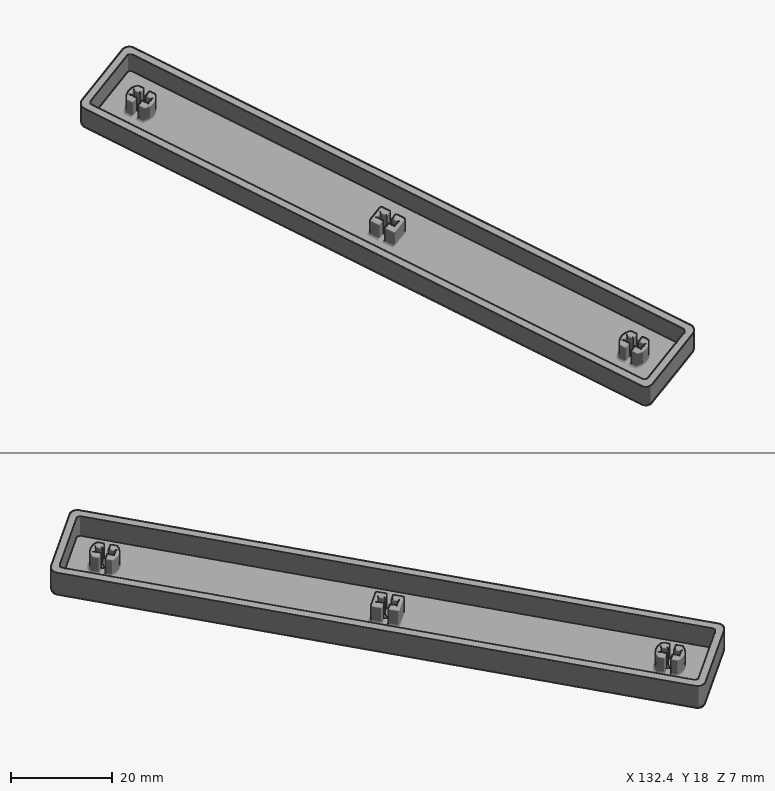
import cadquery as cq

length = 132.4
width = 18.0
height = 7.0
wall = 1.6
floor = 1.6
corner_radius = 1.6
bottom_radius = 1.6
inner_corner_radius = 0.8

stem_spacing = 57.2
stem_length = 5.8
stem_width = 4.2
stem_height = 4.6
stem_corner_radius = 0.4
rim_radius = 0.3
flare_radius = 0.8
plate_size = 2 * stem_length

slot_width = 1.2
slot_length = 4.0
slot_bottom_radius = 0.5
mouth_radius = 0.3

tolerance = 0.01


def on_floor():
    return cq.Workplane("XY", origin=(0, 0, floor))


def make_tray():
    shell = cq.Workplane("XY").box(length, width, height, centered=(True, True, False))
    shell = shell.edges("|Z").fillet(corner_radius)
    shell = shell.faces("<Z").edges().fillet(bottom_radius)
    cavity = on_floor().rect(length - 2 * wall, width - 2 * wall).extrude(height)
    return shell.cut(cavity.edges("|Z").fillet(inner_corner_radius))


def add_flare(post):
    """Blend the foot of a post outward into the floor; keep only what is above the floor."""
    plate = cq.Workplane("XY").rect(plate_size, plate_size).extrude(floor)
    reach = stem_length / 2 + tolerance
    foot = cq.selectors.BoxSelector(
        (-reach, -reach, floor - tolerance),
        (reach, reach, floor + tolerance),
    )
    flared = plate.union(post).edges(foot).fillet(flare_radius)
    return flared.intersect(on_floor().rect(plate_size, plate_size).extrude(stem_height))


def make_slot_cutter():
    along_x = on_floor().rect(slot_length, slot_width).extrude(height)
    along_y = on_floor().rect(slot_width, plate_size).extrude(height)
    return along_x.union(along_y).faces("<Z").edges().fillet(slot_bottom_radius)


def is_slot_mouth(edge):
    """True for the edges where the slot walls break out through the sides and the flare."""
    box = edge.BoundingBox()
    on_slot_wall = box.xlen < tolerance and abs(abs(box.center.x) - slot_width / 2) < tolerance
    above_slot_bottom = box.zmin > floor + slot_bottom_radius - tolerance
    rises = box.zlen > tolerance
    away_from_middle = abs(box.center.y) > slot_width
    return on_slot_wall and above_slot_bottom and rises and away_from_middle


def make_stem(post):
    rounded_post = post.edges("|Z").fillet(stem_corner_radius)
    stem = add_flare(rounded_post).cut(make_slot_cutter())
    mouth_edges = [edge for edge in stem.edges().vals() if is_slot_mouth(edge)]
    stem = stem.newObject(mouth_edges).fillet(mouth_radius)
    return stem.faces(">Z").edges().fillet(rim_radius)


block_post = on_floor().rect(stem_length, stem_width).extrude(stem_height)
disc_post = on_floor().circle(stem_length / 2).extrude(stem_height)
middle_stem = make_stem(block_post)
side_stem = make_stem(disc_post.intersect(block_post))

result = make_tray().union(middle_stem)
for x in (-stem_spacing, stem_spacing):
    result = result.union(side_stem.translate((x, 0, 0)))